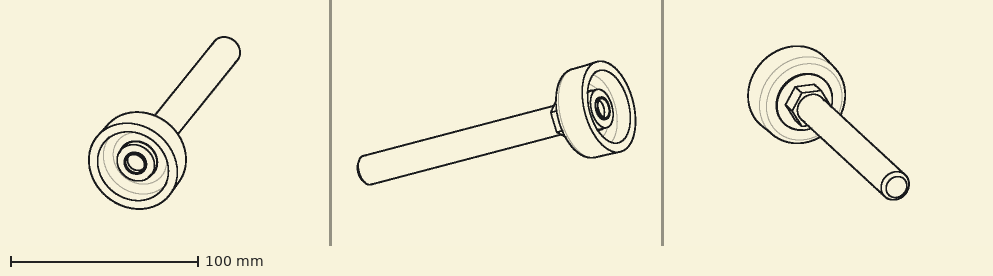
import cadquery as cq
import math

total_length = 160.0

foot_height = 18.9
foot_base_radius = 25.0
foot_shoulder_radius = 24.5
foot_edge_round = 2.9
cavity_mouth_radius = 20.0
cavity_wall_height = 8.5
cavity_wall_inset = 0.3
collar_base_radius = 15.0
collar_tip_radius = 10.9
collar_slope = math.radians(30)

rod_radius = 8.0
rod_chamfer = 2.0
hex_sides = 6
hex_across_flats = 19.0
hex_length = 10.2
flange_radius = 15.8
flange_thickness = 1.1
boss_radius = 10.5
boss_end_y = 4.6
lip_radius = 6.0
lip_height = 1.1
center_bore_radius = 5.3
center_bore_depth = 3.0
center_cone_depth = 3.2

flange_top_y = foot_height + flange_thickness
lip_end_y = boss_end_y - lip_height


def revolve_about_y(profile):
    """Turn a closed radius-height profile about the Y axis."""
    return profile.close().revolve(360, (0, 0, 0), (0, 1, 0))


def make_foot():
    """Tapered cup with a conical collar around the stud hole."""
    edge_center_radius = foot_shoulder_radius - foot_edge_round
    edge_center_y = foot_height - foot_edge_round
    wall_radius = cavity_mouth_radius - cavity_wall_inset
    cavity_round = (wall_radius - collar_base_radius) / (1 + math.sin(collar_slope))
    collar_base_y = cavity_wall_height + cavity_round * math.cos(collar_slope)
    collar_tip_y = collar_base_y - (collar_base_radius - collar_tip_radius) * math.tan(collar_slope)
    diagonal = math.sqrt(0.5)
    profile = (
        cq.Workplane("XY")
        .moveTo(cavity_mouth_radius, 0)
        .lineTo(foot_base_radius, 0)
        .lineTo(foot_shoulder_radius, edge_center_y)
        .threePointArc(
            (edge_center_radius + foot_edge_round * diagonal, edge_center_y + foot_edge_round * diagonal),
            (edge_center_radius, foot_height),
        )
        .lineTo(boss_radius, foot_height)
        .lineTo(boss_radius, collar_tip_y)
        .lineTo(collar_tip_radius, collar_tip_y)
        .lineTo(collar_base_radius, collar_base_y)
        .threePointArc(
            (wall_radius - cavity_round, cavity_wall_height + cavity_round),
            (wall_radius, cavity_wall_height),
        )
    )
    return revolve_about_y(profile)


def make_stud():
    """Rod, hexagon, flange and boss with a lipped center bore in one piece."""
    turned = revolve_about_y(
        cq.Workplane("XY")
        .moveTo(0, lip_end_y + center_bore_depth + center_cone_depth)
        .lineTo(center_bore_radius, lip_end_y + center_bore_depth)
        .lineTo(center_bore_radius, lip_end_y)
        .lineTo(lip_radius, lip_end_y)
        .lineTo(lip_radius, boss_end_y)
        .lineTo(boss_radius, boss_end_y)
        .lineTo(boss_radius, foot_height)
        .lineTo(flange_radius, foot_height)
        .lineTo(flange_radius, flange_top_y)
        .lineTo(rod_radius, flange_top_y)
        .lineTo(rod_radius, total_length - rod_chamfer)
        .lineTo(rod_radius - rod_chamfer, total_length)
        .lineTo(0, total_length)
    )
    corner_diameter = hex_across_flats / math.cos(math.pi / hex_sides)
    hexagon = (
        cq.Workplane("XZ", origin=(0, flange_top_y, 0))
        .polygon(hex_sides, corner_diameter)
        .extrude(-hex_length)
    )
    return turned.union(hexagon)


foot = make_foot()
stud = make_stud()
result = cq.Compound.makeCompound([foot.val(), stud.val()])